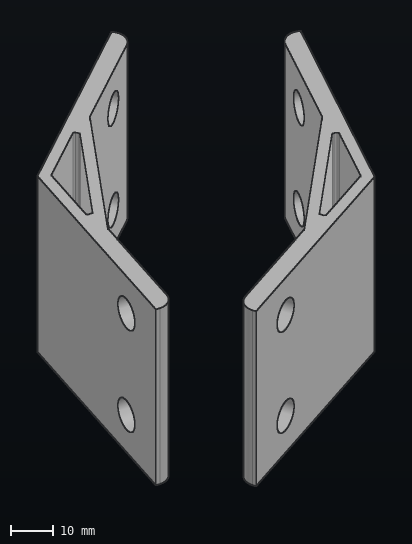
import cadquery as cq
import math

overall_length = 102.4
height = 52.0
bend_angle = 45.0
leg_thickness = 5.0
tip_radius = 4.0
web_reach = 26.1
wall_thickness = 3.1
web_thickness = 3.0
hollow_reach = 19.2
hollow_radius = 0.5
hole_diameter = 8.6
hole_tip_distance = 15.0
hole_spacing = 30.0

bend = math.radians(bend_angle)
leg_length = overall_length / (1 + math.cos(bend))
web_slope = math.tan(bend / 2)
hole_distance = leg_length - hole_tip_distance
hollow_end_height = (
    leg_thickness
    + (web_reach - hollow_reach) * web_slope
    - web_thickness / math.cos(bend / 2)
)


def mirrored(point):
    """Reflect a point of the straight leg onto the bent leg."""
    along, inward = point
    return (
        -along * math.cos(bend) + inward * math.sin(bend),
        along * math.sin(bend) + inward * math.cos(bend),
    )


def prism(points):
    return cq.Workplane("XY").polyline(points).close().extrude(height)


def bracket_body():
    """Two legs joined by a straight web, with rounded inner tips."""
    half_outline = [(leg_length, 0), (leg_length, leg_thickness), (web_reach, leg_thickness)]
    other_half = [mirrored(point) for point in reversed(half_outline)]
    body = prism([(0, 0)] + half_outline + other_half)
    for x, y in (half_outline[1], mirrored(half_outline[1])):
        tip_edge = cq.selectors.NearestToPointSelector((x, y, height / 2))
        body = body.edges(tip_edge).fillet(tip_radius)
    return body


def hollow():
    """Through opening bounded by both legs and the web, sharp only at the bend."""
    bend_corner = (wall_thickness * web_slope, wall_thickness)
    end_corners = [(hollow_reach, wall_thickness), (hollow_reach, hollow_end_height)]
    other_corners = [mirrored(point) for point in reversed(end_corners)]
    opening = prism([bend_corner] + end_corners + other_corners)
    for x, y in end_corners + other_corners:
        corner_edge = cq.selectors.NearestToPointSelector((x, y, height / 2))
        opening = opening.edges(corner_edge).fillet(hollow_radius)
    return opening


def leg_holes(along_leg, into_leg):
    """Pair of cylinders through one leg, given its length and thickness directions."""
    face_plane = cq.Plane(
        origin=(along_leg[0] * hole_distance, along_leg[1] * hole_distance, height / 2),
        xDir=(0, 0, 1),
        normal=(into_leg[0], into_leg[1], 0),
    )
    return (
        cq.Workplane(face_plane)
        .pushPoints([(-hole_spacing / 2, 0), (hole_spacing / 2, 0)])
        .circle(hole_diameter / 2)
        .extrude(leg_thickness)
    )


result = bracket_body().cut(hollow())
result = result.cut(leg_holes((1, 0), (0, 1)))
result = result.cut(leg_holes(mirrored((1, 0)), mirrored((0, 1))))